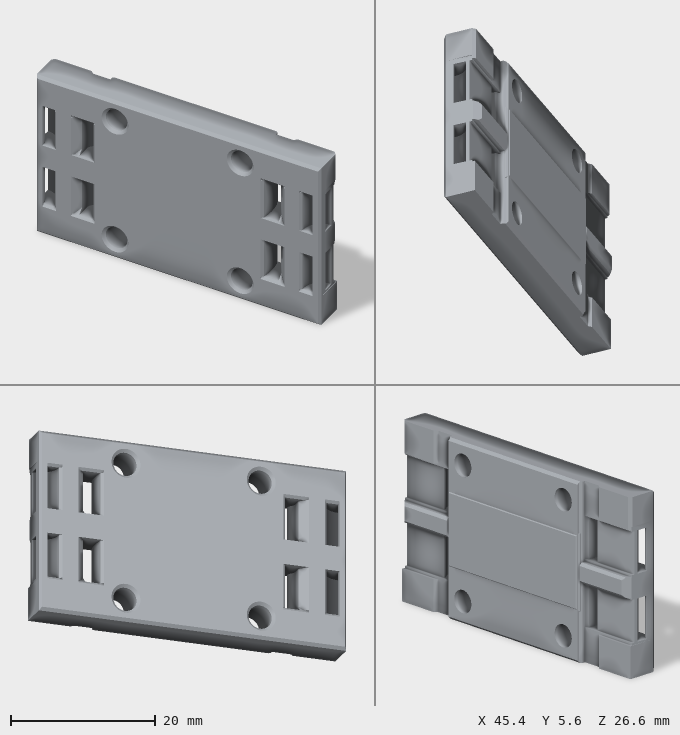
import cadquery as cq
import math

length = 45.4
height = 26.6
thickness = 5.6
half_x = length / 2
half_z = height / 2

front_chamfer_depth = 0.43
front_chamfer_end = 0.3
front_chamfer_side = 0.43

rim_y = 4.8
groove_y = 4.35
panel_y = 5.45
back_bevel = 0.4
end_chamfer = 0.43

groove_inner_x = 13.2
groove_outer_x = 16.0
groove_slope = 0.45
panel_step = 0.35

plate_half_x = 13.05
plate_half_z = 5.7

hole_pitch = 19.98
hole_diameter = 3.4
hole_chamfer = 0.43

slot_low_z = 1.8
slot_high_z = 8.15
slot_height = slot_high_z - slot_low_z
slot_chamfer = 0.35

channel_inner_radius = 1.15
channel_outer_radius = 2.95
turn_centre_y = 0.45

recess_margin = 0.3
bed_y = 3.95
bed_fillet = groove_y - bed_y

throat_outer_x = 17.02
throat_ramp = 1.15
bar_lip = 0.65
bar_lip_angle = math.radians(45)
throat_inner_x = groove_inner_x + bed_fillet
throat_bulge = 0.2

relief_depth = 0.15
relief_low_z = -slot_high_z - recess_margin
relief_high_z = 8.95

rib_half_z = slot_low_z - recess_margin
rib_end_x = half_x - (panel_y - groove_y)


def plan_prism(sketch, low_z, high_z):
    """Close an XY outline and extrude it between two heights."""
    return sketch.close().extrude(high_z - low_z).translate((0, 0, low_z))


def both_ends(shape):
    """Join a feature of the -X end with its copy at the +X end."""
    return shape.union(shape.mirror("YZ"))


def make_body():
    """Plate whose outline is bevelled in plan and in side elevation."""
    step_x = groove_inner_x - panel_step
    half_plan = [
        (0, 0),
        (-half_x + front_chamfer_end, 0),
        (-half_x, front_chamfer_depth),
        (-half_x, rim_y),
        (-groove_outer_x - groove_slope, rim_y),
        (-groove_outer_x, groove_y),
        (-groove_inner_x, groove_y),
        (-groove_inner_x, rim_y),
        (-step_x, rim_y + panel_step),
        (-step_x, panel_y),
        (0, panel_y),
    ]
    plan = both_ends(plan_prism(cq.Workplane("XY").polyline(half_plan), -half_z, half_z))
    bevel_y = panel_y - back_bevel
    half_side = [
        (0, 0),
        (0, half_z - front_chamfer_side),
        (front_chamfer_depth, half_z),
        (bevel_y, half_z),
        (panel_y, half_z - back_bevel),
        (panel_y, 0),
    ]
    upper = cq.Workplane("YZ").polyline(half_side).close().extrude(half_x, both=True)
    return plan.intersect(upper.union(upper.mirror("XY")))


def make_plate():
    """Raised bevelled plate on the centre panel."""
    plate = cq.Workplane("XY").box(2 * plate_half_x, thickness - groove_y, 2 * plate_half_z)
    plate = plate.faces(">Y").edges().chamfer(back_bevel)
    return plate.translate((0, (groove_y + thickness) / 2, 0))


def make_rib():
    """Bevelled rib of the -X end, between the two strap recesses."""
    profile = [
        (-half_x, bed_y),
        (-half_x, groove_y),
        (-rib_end_x, panel_y),
        (-groove_inner_x, panel_y),
        (-groove_inner_x, bed_y),
    ]
    rib = plan_prism(cq.Workplane("XY").polyline(profile), -rib_half_z, rib_half_z)
    return rib.faces(">Y").edges("|X").chamfer(back_bevel)


def arc_point(radius):
    """Middle point of a quarter arc of the end channel."""
    offset = radius * math.sqrt(0.5)
    return (-half_x + offset, turn_centre_y + offset)


def make_end_channel():
    """Quarter-turn channel from a front mouth to the -X end, from Z = 0 up."""
    mouth_outer_x = half_x - channel_inner_radius
    mouth_inner_x = half_x - channel_outer_radius
    outline = (
        cq.Workplane("XY")
        .moveTo(-mouth_outer_x, 0)
        .lineTo(-mouth_inner_x + slot_chamfer, 0)
        .lineTo(-mouth_inner_x, slot_chamfer)
        .lineTo(-mouth_inner_x, turn_centre_y)
        .threePointArc(arc_point(channel_outer_radius), (-half_x, turn_centre_y + channel_outer_radius))
        .lineTo(-half_x, turn_centre_y + channel_inner_radius)
        .threePointArc(arc_point(channel_inner_radius), (-mouth_outer_x, turn_centre_y))
    )
    return plan_prism(outline, 0, slot_height)


def make_throat():
    """Through slot between the lipped strap bar and a bulged inner wall, from Z = 0 up."""
    ramp_x = throat_outer_x - throat_ramp
    lip_radius = bar_lip / 2 / (1 - math.cos(bar_lip_angle))
    lip_half_rise = lip_radius * math.sin(bar_lip_angle)
    lip_start_y = bed_y - 2 * lip_half_rise
    lip_middle_x = -ramp_x + bar_lip / 2
    wall_middle_y = (slot_chamfer + bed_y) / 2
    outline = (
        cq.Workplane("XY")
        .moveTo(-throat_outer_x, 0)
        .lineTo(-ramp_x, throat_ramp)
        .lineTo(-ramp_x, lip_start_y)
        .tangentArcPoint((lip_middle_x, lip_start_y + lip_half_rise), relative=False)
        .tangentArcPoint((-ramp_x + bar_lip, bed_y), relative=False)
        .lineTo(-throat_inner_x, bed_y)
        .threePointArc((-throat_inner_x - throat_bulge, wall_middle_y), (-throat_inner_x, slot_chamfer))
        .lineTo(-throat_inner_x + slot_chamfer, 0)
    )
    throat = plan_prism(outline, 0, slot_height)
    gusset = (
        cq.Workplane("YZ")
        .moveTo(slot_chamfer, 0)
        .lineTo(throat_ramp, 0)
        .lineTo(throat_ramp, throat_ramp - slot_chamfer)
        .close()
        .extrude(throat_ramp)
        .translate((-throat_outer_x, 0, 0))
    )
    return throat.cut(gusset)


def make_mouth_chamfer(left_x, right_x, edge_z, direction):
    """Chamfer along the horizontal edge of a slot mouth."""
    return (
        cq.Workplane("YZ")
        .moveTo(0, edge_z)
        .lineTo(0, edge_z + direction * slot_chamfer)
        .lineTo(slot_chamfer, edge_z)
        .close()
        .extrude(right_x - left_x)
        .translate((left_x, 0, 0))
    )


def make_recess():
    """Recess and strap bed across the back of the -X end, from Z = 0 up."""
    middle = bed_fillet * math.sqrt(0.5)
    bed_outline = (
        cq.Workplane("XY")
        .moveTo(-half_x, bed_y)
        .lineTo(-throat_inner_x, bed_y)
        .threePointArc(
            (-throat_inner_x + middle, bed_y + bed_fillet - middle),
            (-groove_inner_x, groove_y),
        )
        .lineTo(-half_x, groove_y)
    )
    bed = plan_prism(bed_outline, 0, slot_height)
    recess_corners = [
        (-half_x, groove_y),
        (-groove_inner_x, groove_y),
        (-groove_inner_x, thickness),
        (-half_x, thickness),
    ]
    recess_outline = cq.Workplane("XY").polyline(recess_corners)
    recess = plan_prism(recess_outline, -recess_margin, slot_height + recess_margin)
    return bed.union(recess)


def make_slots():
    """All strap cuts of the -X end."""
    cut = make_end_channel().union(make_throat()).union(make_recess())
    slots = cut.translate((0, 0, slot_low_z)).union(cut.translate((0, 0, -slot_high_z)))
    channel_right_x = -half_x + channel_outer_radius + slot_chamfer
    throat_right_x = -throat_inner_x + slot_chamfer
    for left_x, right_x in (
        (-half_x + channel_inner_radius, channel_right_x),
        (-throat_outer_x, throat_right_x),
    ):
        for direction in (1, -1):
            edge_z = direction * slot_high_z
            slots = slots.union(make_mouth_chamfer(left_x, right_x, edge_z, direction))
    return slots


def make_relief():
    """Slight taper of the -X end face towards the back."""
    outline = cq.Workplane("XY").polyline(
        [
            (-half_x, front_chamfer_depth),
            (-half_x + relief_depth, rim_y),
            (-half_x, rim_y),
        ]
    )
    return plan_prism(outline, relief_low_z, relief_high_z)


def make_end_chamfer():
    """Bevel on the back edge of the -X end, above the lower slot."""
    outline = cq.Workplane("XY").polyline(
        [
            (-half_x, rim_y - end_chamfer),
            (-half_x + end_chamfer, rim_y),
            (-half_x, rim_y),
        ]
    )
    return plan_prism(outline, -slot_low_z, half_z)


def make_holes():
    """Four screw holes, chamfered at the front."""
    radius = hole_diameter / 2
    section = [
        (0, 0),
        (radius + hole_chamfer, 0),
        (radius, hole_chamfer),
        (radius, thickness),
        (0, thickness),
    ]
    hole = cq.Workplane("XY").polyline(section).close().revolve(360, (0, 0, 0), (0, 1, 0))
    holes = cq.Workplane("XY")
    for x in (-hole_pitch / 2, hole_pitch / 2):
        for z in (-hole_pitch / 2, hole_pitch / 2):
            holes = holes.add(hole.translate((x, 0, z)))
    return holes.combine()


body = make_body().cut(both_ends(make_end_chamfer())).union(make_plate())
body = body.cut(both_ends(make_slots())).union(both_ends(make_rib()))
body = body.cut(both_ends(make_relief()))
result = body.cut(make_holes())